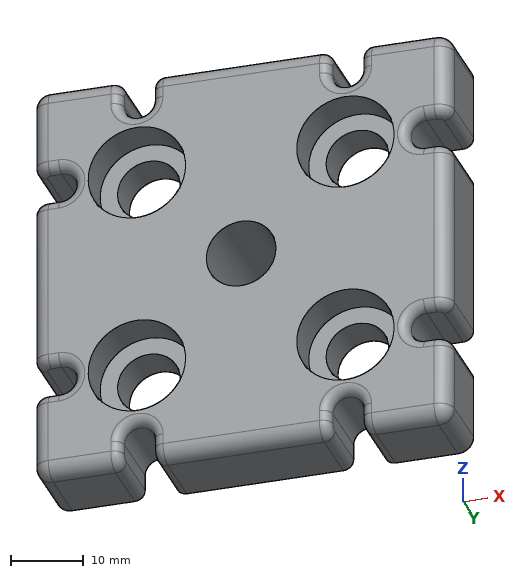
import cadquery as cq

plate_side = 60.0
plate_thickness = 11.0
plate_fillet = 2.25

slot_radius = 2.25
slot_depth = 6.0
slot_straight_depth = slot_depth - slot_radius
slot_rim_fillet = 1.5

bolt_offset = 15.0
bolt_hole_diameter = 9.0
counterbore_diameter = 14.0
counterbore_depth = 5.5

overall_depth = 18.0
boss_diameter = 23.5
boss_height = overall_depth - plate_thickness
boss_edge_fillet = 0.4
bore_diameter = 10.0

half_side = plate_side / 2


def cylinder(diameter, start_y, length, x=0.0, z=0.0):
    """Cylinder running along +Y from start_y."""
    return cq.Workplane(
        cq.Solid.makeCylinder(
            diameter / 2, length, cq.Vector(x, start_y, z), cq.Vector(0, 1, 0)
        )
    )


def edge_slot(offset, quarter_turns):
    """Round-bottomed slot opening to +Z, then turned about Y to its side of the plate."""
    floor_z = half_side - slot_straight_depth
    channel = cq.Workplane("XY").box(
        2 * slot_radius, plate_thickness, slot_straight_depth, centered=(True, False, False)
    )
    channel = channel.translate((offset, 0, floor_z))
    slot = channel.union(cylinder(2 * slot_radius, 0, plate_thickness, offset, floor_z))
    return slot.rotate((0, 0, 0), (0, 1, 0), 90 * quarter_turns)


def rounded_plate():
    """Plate with its corners and front edges rounded."""
    plate = cq.Workplane("XY").box(
        plate_side, plate_thickness, plate_side, centered=(True, False, True)
    )
    return plate.edges("|Y or <Y").fillet(plate_fillet)


def cut_slots(plate):
    """Two slots in each side, with every rim but the back one rounded."""
    slots = cq.Workplane("XY")
    for quarter_turns in range(4):
        for offset in (-bolt_offset, bolt_offset):
            slots = slots.union(edge_slot(offset, quarter_turns))
    slotted = plate.cut(slots)

    return slotted.faces("<Y").edges("%CIRCLE").fillet(slot_rim_fillet)


def add_boss(body):
    """Round boss on the back face with a softened end edge."""
    boss = cylinder(boss_diameter, plate_thickness, boss_height)
    return body.union(boss.edges(">Y").fillet(boss_edge_fillet))


def cut_holes(body):
    """Central bore and four counterbored bolt holes."""
    body = body.cut(cylinder(bore_diameter, 0, overall_depth))
    for x in (-bolt_offset, bolt_offset):
        for z in (-bolt_offset, bolt_offset):
            body = body.cut(cylinder(bolt_hole_diameter, 0, plate_thickness, x, z))
            body = body.cut(cylinder(counterbore_diameter, 0, counterbore_depth, x, z))
    return body


result = cut_holes(add_boss(cut_slots(rounded_plate())))